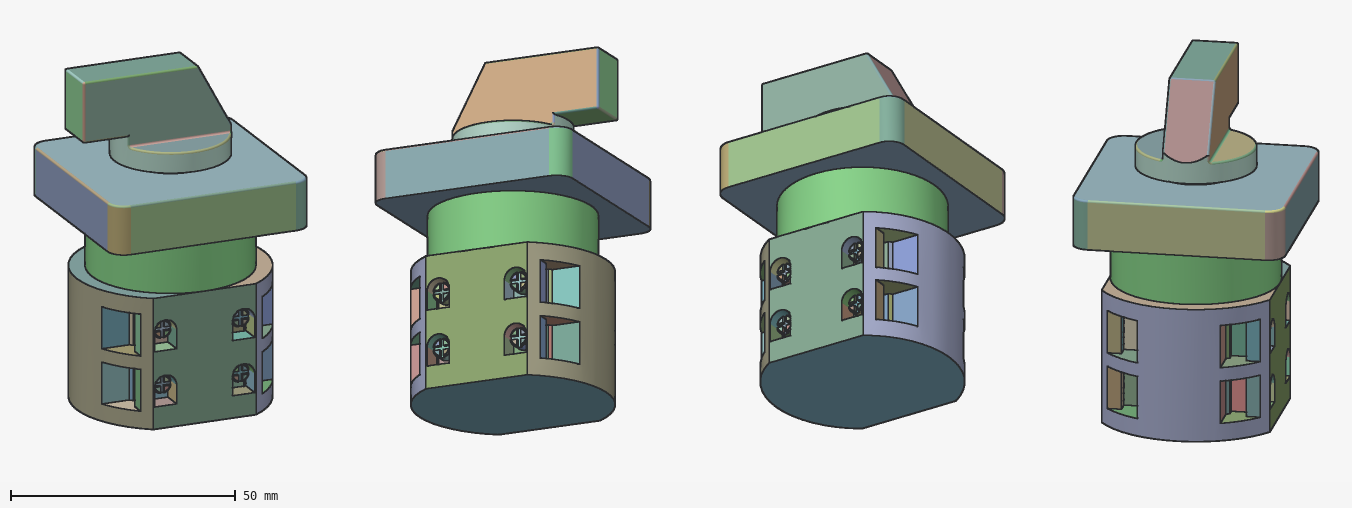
import cadquery as cq

contact_top = 31.0
plate_bottom = 44.0
plate_top = 55.5
disk_bottom = 57.4
disk_top = 62.25
handle_top = 79

contact_diameter = 45.6
contact_width = 38.15
half_contact_width = contact_width / 2
collar_diameter = contact_width

plate_side = 48.0
plate_corner_radius = 3.95
edge_radius = 0.5

neck_diameter = 17.15
disk_diameter = 27.2
handle_width = 10.6
grip_front_y = -23.5
grip_bottom = 64.6
ridge_y = 4.5

tier_pitch = 13.0
tier_offsets = [0, tier_pitch]

window_bottom = 4.1
window_height = 9.9
window_inner_x = 9.4
window_outer_x = 17.4
window_floor_y = 14.8
slot_inner_x = 10.2
slot_outer_x = 14.15
slot_floor_y = 11.7
slot_shoulder_y = 13.4
slot_lead_in_y = 14.1

screw_y = 9.5
screw_z = 9.7
recess_radius = 2.7
recess_floor_drop = 4.4
recess_depth = half_contact_width - slot_outer_x
screw_radius = 2.2
screw_sink = 1.7
screw_height = recess_depth - screw_sink
screw_chamfer = 0.3
cross_width = 0.95
cross_depth = 0.8


def cylinder(diameter, bottom, top):
    return cq.Workplane("XY").workplane(offset=bottom).circle(diameter / 2).extrude(top - bottom)


def four_corners(shape):
    """Copy a shape from the +X +Y quadrant into all four quadrants."""
    pair = shape.add(shape.mirror("YZ")).combine()
    return pair.add(pair.mirror("XZ")).combine()


def both_tiers(shape):
    """Repeat a lower-tier shape at the height of every tier."""
    copies = cq.Workplane("XY")
    for offset in tier_offsets:
        copies = copies.add(shape.translate((0, 0, offset)))
    return copies.combine()


def make_window():
    """Wire window with a narrower slot behind it and a sloped lead-in."""
    mouth_y = contact_diameter / 2
    outline = [
        (window_outer_x, mouth_y),
        (window_outer_x, window_floor_y),
        (slot_outer_x, window_floor_y),
        (slot_outer_x, slot_floor_y),
        (slot_inner_x, slot_floor_y),
        (slot_inner_x, slot_shoulder_y),
        (window_inner_x, slot_lead_in_y),
        (window_inner_x, mouth_y),
    ]
    return cq.Workplane("XY").workplane(offset=window_bottom).polyline(outline).close().extrude(window_height)


def make_screw_recess():
    """Recess with a round top and a flat floor, as deep as the outer wall of the wire slot."""
    return (
        cq.Workplane("YZ")
        .workplane(offset=slot_outer_x)
        .moveTo(screw_y - recess_radius, screw_z - recess_floor_drop)
        .lineTo(screw_y + recess_radius, screw_z - recess_floor_drop)
        .lineTo(screw_y + recess_radius, screw_z)
        .threePointArc((screw_y, screw_z + recess_radius), (screw_y - recess_radius, screw_z))
        .close()
        .extrude(recess_depth)
    )


def make_screw():
    """Chamfered screw head with a cross slot."""
    head = (
        cq.Workplane("YZ", origin=(slot_outer_x, screw_y, screw_z))
        .circle(screw_radius)
        .extrude(screw_height)
        .faces(">X")
        .chamfer(screw_chamfer)
    )
    cross_plane = cq.Workplane("YZ", origin=(slot_outer_x + screw_height - cross_depth, screw_y, screw_z))
    bar = cross_plane.rect(2 * screw_radius, cross_width).extrude(cross_depth)
    upright = cross_plane.rect(cross_width, 2 * screw_radius).extrude(cross_depth)
    return head.cut(bar).cut(upright)


def make_contact_block():
    flats = cq.Workplane("XY").box(
        contact_width, contact_diameter, contact_top, centered=(True, True, False)
    )
    block = cylinder(contact_diameter, 0, contact_top).intersect(flats)
    block = block.cut(four_corners(both_tiers(make_window())))
    block = block.cut(four_corners(both_tiers(make_screw_recess())))
    return block.union(four_corners(both_tiers(make_screw())))


def make_plate():
    return (
        cq.Workplane("XY")
        .workplane(offset=plate_bottom)
        .rect(plate_side, plate_side)
        .extrude(plate_top - plate_bottom)
        .edges("|Z")
        .fillet(plate_corner_radius)
        .faces(">Z")
        .edges()
        .fillet(edge_radius)
    )


def edges_between(bottom, top):
    """Selector for everything centered between two heights."""
    return cq.selectors.BoxSelector((-plate_side, -plate_side, bottom), (plate_side, plate_side, top))


def make_handle():
    """Round base disk carrying a grip that slopes at the back and overhangs at the front."""
    disk_radius = disk_diameter / 2
    disk = cylinder(disk_diameter, disk_bottom, disk_top)
    profile = [
        (grip_front_y, grip_bottom),
        (grip_front_y, handle_top),
        (ridge_y, handle_top),
        (disk_radius, disk_top),
        (disk_radius, disk_bottom),
        (-disk_radius, disk_bottom),
        (-disk_radius, grip_bottom),
    ]
    grip = cq.Workplane("YZ").polyline(profile).close().extrude(handle_width / 2, both=True)

    overhang_room = (
        cq.Workplane("XY")
        .workplane(offset=grip_bottom)
        .center(0, -disk_radius)
        .rect(handle_width, disk_diameter)
        .extrude(handle_top - grip_bottom)
    )
    grip = grip.intersect(cylinder(disk_diameter, disk_bottom, handle_top).union(overhang_room))
    handle = disk.union(grip)

    disk_rim = edges_between(disk_top - edge_radius, disk_top + edge_radius)
    above_rim = edges_between(disk_top - edge_radius, handle_top + edge_radius)
    straight_edges = cq.selectors.StringSyntaxSelector("%LINE")
    return handle.edges(disk_rim + (above_rim & straight_edges)).fillet(edge_radius)


result = (
    make_contact_block()
    .union(cylinder(collar_diameter, contact_top, plate_bottom))
    .union(make_plate())
    .union(cylinder(neck_diameter, plate_top, disk_bottom))
    .union(make_handle())
)